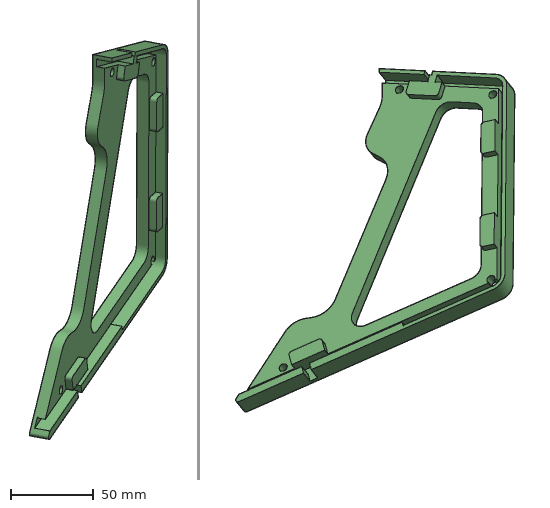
import cadquery as cq
import math


total_depth = 12.6
plate_depth = 8.0
groove_floor = 2.5

lip = 2.5
thick_lip = 5.1
shoulder = 7.3
bottom_shoulder = 9.5
frame_width = 17.8

top_front = (94.0, 214.2)
top_back = (177.8, 189.3)
bottom_back = (176.5, 41.0)
tip = (-2.4, -1.0)
knee_crest = (35.3, 52.5)
knee_root = (59.0, 50.3)
bay = (100.9, 147.8)
nose = (80.3, 164.0)
neck = (94.0, 193.2)

outer_round = 9.6
tip_round = 1.75
knee_round = 15.5
bay_round = 14.8
nose_round = 11.8
neck_round = 18.2
window_round = 8.5
sharp_window_round = 7.7

window_bar = ((78.8, 58.0), (124.7, 166.5))

top_edge = (top_front, top_back)
back_edge = (top_back, bottom_back)
bottom_edge = (bottom_back, tip)

top_pad_place = 34.0
bottom_pad_place = 130.2
back_pad_places = [41.1, 107.0]
top_notch_place = top_pad_place
bottom_notch_place = 133.0
thick_lip_start = 68.0

pad_length = 22.3
pad_width = 9.5
pad_round = 2.1
notch_length = 5.1
rib_length = 5.1
rib_offset = 1.3

hole_diameter = 5.1
hole_centres = [(105.4, 199.2), (166.6, 180.8), (165.4, 50.0), (29.1, 20.3)]

overrun = 128.5


def direction(line):
    (start_y, start_z), (end_y, end_z) = line
    length = math.dist(*line)
    return (end_y - start_y) / length, (end_z - start_z) / length


def edge_point(line, place, depth):
    """Point at a distance along a line and a depth to the right of it."""
    dy, dz = direction(line)
    start_y, start_z = line[0]
    return (start_y + dy * place + dz * depth, start_z + dz * place - dy * depth)


def inset(line, depth):
    """The same line moved inward."""
    return (edge_point(line, 0, depth), edge_point(line, math.dist(*line), depth))


def crossing(line, other):
    """Point where two lines meet."""
    dy, dz = direction(line)
    other_dy, other_dz = direction(other)
    gap_y = other[0][0] - line[0][0]
    gap_z = other[0][1] - line[0][1]
    place = (gap_y * other_dz - gap_z * other_dy) / (dy * other_dz - dz * other_dy)
    return edge_point(line, place, 0)


def round_corner(body, corner, radius):
    """Round the edge that stands along X at one corner."""
    y, z = corner
    reach = 0.1
    around_corner = cq.selectors.BoxSelector(
        (-reach, y - reach, z - reach),
        (total_depth + reach, y + reach, z + reach),
    )
    return body.edges("|X").edges(around_corner).fillet(radius)


def prism(corners, x_start):
    """Solid from x_start to the back, given (corner, radius) pairs; radius 0 stays sharp."""
    points = [corner for corner, _ in corners]
    body = cq.Workplane("YZ", origin=(x_start, 0, 0)).polyline(points).close().extrude(total_depth - x_start)
    for corner, radius in corners:
        if radius > 0:
            body = round_corner(body, corner, radius)
    return body


def edge_block(edge, start, end, outer, inner, x_start, inner_round=0):
    """Block beside an edge, between two places along it and two depths inward."""
    return prism(
        [
            (edge_point(edge, start, outer), 0),
            (edge_point(edge, end, outer), 0),
            (edge_point(edge, end, inner), inner_round),
            (edge_point(edge, start, inner), inner_round),
        ],
        x_start,
    )


def region_inside(side_depth, bottom_depth, corner_round, x_start):
    """Everything inward of the three rimmed edges, running out past the front."""
    top_line = inset(top_edge, side_depth)
    back_line = inset(back_edge, side_depth)
    bottom_line = inset(bottom_edge, bottom_depth)
    return prism(
        [
            (edge_point(top_line, -overrun, 0), 0),
            (crossing(top_line, back_line), corner_round),
            (crossing(back_line, bottom_line), corner_round),
            (edge_point(bottom_line, math.dist(*bottom_line) + overrun, 0), 0),
        ],
        x_start,
    )


def pad(edge, place, base):
    """Raised pad with its two inward corners rounded."""
    half = pad_length / 2
    return edge_block(edge, place - half, place + half, base, base + pad_width, groove_floor, pad_round)


def notch(edge, place, lip_depth):
    """Gap through the lip."""
    half = notch_length / 2
    return edge_block(edge, place - half, place + half, -lip, lip_depth, groove_floor)


outline = prism(
    [
        (top_front, 0),
        (top_back, outer_round),
        (bottom_back, outer_round),
        (tip, tip_round),
        (knee_crest, knee_round),
        (knee_root, knee_round),
        (bay, bay_round),
        (nose, nose_round),
        (neck, neck_round),
    ],
    0,
)

lip_corner_round = outer_round - lip
recess = region_inside(lip, lip, lip_corner_round, plate_depth)
groove = region_inside(lip, lip, lip_corner_round, groove_floor)
groove = groove.cut(region_inside(shoulder, bottom_shoulder, 0, groove_floor))
result = outline.cut(recess).cut(groove)

thick_strip = edge_block(bottom_edge, thick_lip_start, math.dist(*bottom_edge), 0, thick_lip, 0)
result = result.union(thick_strip.intersect(outline))

window_top = inset(top_edge, frame_width)
window_back = inset(back_edge, frame_width)
window_bottom = inset(bottom_edge, frame_width)
window = prism(
    [
        (crossing(window_top, window_back), window_round),
        (crossing(window_back, window_bottom), window_round),
        (crossing(window_bottom, window_bar), sharp_window_round),
        (crossing(window_bar, window_top), window_round),
    ],
    0,
)
result = result.cut(window)

result = result.union(pad(top_edge, top_pad_place, shoulder))
result = result.union(pad(bottom_edge, bottom_pad_place, bottom_shoulder))
for back_pad_place in back_pad_places:
    result = result.union(pad(back_edge, back_pad_place, shoulder))

result = result.cut(notch(top_edge, top_notch_place, lip))
result = result.cut(notch(bottom_edge, bottom_notch_place, thick_lip))

rib_start = top_notch_place + rib_offset
rib = edge_block(top_edge, rib_start, rib_start + rib_length, lip, shoulder, groove_floor)
result = result.union(rib)

holes = cq.Workplane("YZ").pushPoints(hole_centres).circle(hole_diameter / 2).extrude(total_depth)
result = result.cut(holes)